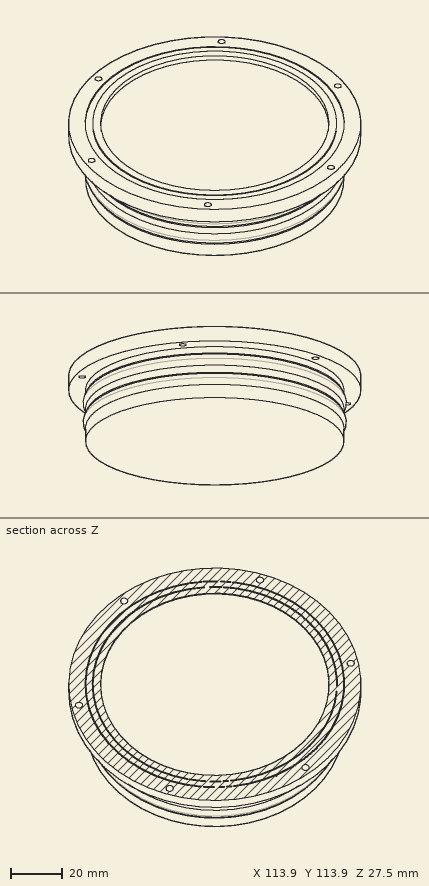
import cadquery as cq

flange_diameter = 113.9
overall_height = 27.5

body_diameter = 100.7
flange_bottom = 21.1
flange_top = 27.1

recess_diameter = 88.8
recess_depth = 2.0

side_ring_section = 5.0
side_ring_outer_diameter = 102.5
side_ring_heights = (8.0, 15.9)

face_groove_inner_diameter = 95.0
face_groove_outer_diameter = 100.9

hole_diameter = 2.6
hole_circle_diameter = 107.7
hole_count = 6
first_hole_angle = 15.0

seat_overlap = 0.1


def disc(diameter, bottom, top):
    return cq.Workplane("XY", origin=(0, 0, bottom)).circle(diameter / 2).extrude(top - bottom)


def tube(inner_diameter, outer_diameter, bottom, top):
    return disc(outer_diameter, bottom, top).cut(disc(inner_diameter, bottom, top))


def o_ring(center_radius, section_diameter, height):
    profile = cq.Workplane("XZ").center(center_radius, height).circle(section_diameter / 2)
    return profile.revolve(360, (-center_radius, 0), (-center_radius, 1))


def add_side_ring(part, height):
    half_section = side_ring_section / 2
    floor_diameter = side_ring_outer_diameter - 2 * (side_ring_section - seat_overlap)
    groove = tube(floor_diameter, flange_diameter, height - half_section, height + half_section)
    ring = o_ring(side_ring_outer_diameter / 2 - half_section, side_ring_section, height)
    return part.cut(groove).union(ring)


def add_face_ring(part):
    section = (face_groove_outer_diameter - face_groove_inner_diameter) / 2
    center_radius = (face_groove_outer_diameter + face_groove_inner_diameter) / 4
    floor_height = overall_height - section + seat_overlap
    groove = tube(face_groove_inner_diameter, face_groove_outer_diameter, floor_height, flange_top)
    ring = o_ring(center_radius, section, overall_height - section / 2)
    return part.cut(groove).union(ring)


def screw_holes():
    return (
        cq.Workplane("XY", origin=(0, 0, flange_bottom))
        .polarArray(hole_circle_diameter / 2, first_hole_angle, 360, hole_count)
        .circle(hole_diameter / 2)
        .extrude(flange_top - flange_bottom)
    )


result = disc(body_diameter, 0, flange_top).union(disc(flange_diameter, flange_bottom, flange_top))
result = result.cut(disc(recess_diameter, flange_top - recess_depth, flange_top))
result = result.cut(screw_holes())
for ring_height in side_ring_heights:
    result = add_side_ring(result, ring_height)
result = add_face_ring(result)